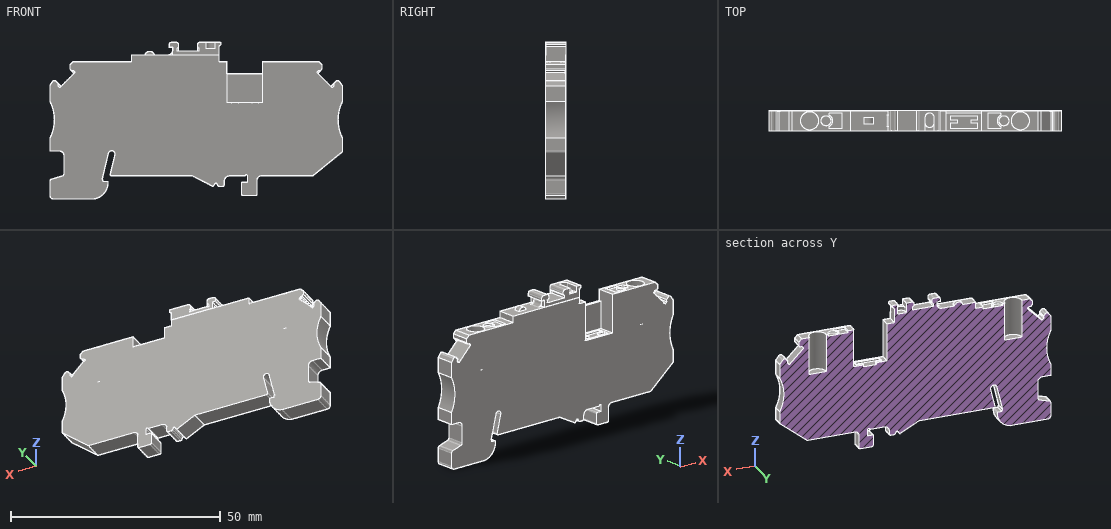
import cadquery as cq
import math

length = 70.0
thickness = 5.0
height = 37.5
mid_x = 34.9
clip_step = 0.1
body_thickness = thickness - clip_step
mid_y = body_thickness / 2

base_z = 5.5
top_z = 32.9
shelf_z = 34.5
shelf_x = (19.45, 40.45)
right_corner = (length, 11.35)
right_slope_x = 62.85

foot_top_z = 4.3
foot_flat_end = 10.5
foot_tip_x = 13.9
foot_tip_z = 3.7
foot_curve_mid = (12.8, 1.2)
foot_lead_in = 0.2
foot_recess_depth = 3.35
foot_recess_z = (5.7, 11.5)
foot_shoulder_z = 4.7
spring_top = (14.8, 10.8)
spring_radius = 0.8
spring_tilt = math.radians(13.5)
spring_left_bottom_z = 4.8

hook_x = (45.8, 49.55)
hook_neck_x = 47.25
hook_lip_z = 4.05
hook_bottom_z = 0.85
relief_radius = 0.3

wedge_x = (34.1, 39.0)
stop_notch = (39.75, 4.0)
stop_x = (40.25, 41.7)
stop_z = 3.0

grip_radius = 9.8
grip_depth = 1.05
grip_z = 19.0

channel_low = (2.65, 26.95)
channel_high = (5.75, 30.0)
lip_x = 4.75
lip_top_x = 5.5
lip_z = (31.15, 32.1)
rim_outer = (0.6, 28.15)
rim_crest = (1.1, 28.35)
rim_inner = (1.55, 28.15)
left_rim_foot_z = 27.2
right_rim_foot_z = 27.1

undercut_depth = 0.4
undercut_straight = 0.6
undercut_height = 1.0
undercut_wall = 0.2

clip_floor_z = 35.4
clip_stem_x = 29.3
clip_channel_x = (30.8, 35.3)
clip_end_x = shelf_x[1]
clip_hook_x = 28.5
clip_hook_z = 36.25
clip_nose_x = 40.95
clip_nose_z = (36.55, 36.95)
clip_edge_radius = 0.6
clip_nose_radius = 0.35
clip_fillet_radius = 1.05
clip_fillet_width = 2.8
clip_slot_x = (37.4, 39.5)
clip_slot_y = (0.85, 4.35)
clip_slot_floor_z = 35.0
clip_slot_ledge_z = 36.05

bump_diameter = 2.4
bump_x = 23.9
bump_top_z = 35.35
bump_width = 1.55

wire_hole_x = 9.7
wire_hole_diameter = 4.35
wire_hole_depth = 9.8
screw_x = 13.65
screw_diameter = 2.4
screw_collar_diameter = 3.15
recess_x = (14.35, 17.5)
recess_width = 3.8
recess_corner = 0.3
shallow_depth = 0.5

window_x = (42.35, 50.8)
window_floor_z = 23.1
window_wall = 0.6
window_wall_top_z = 30.0
jumper_x = (43.5, 49.9)
jumper_y = (0.6, 3.65)
jumper_tab_length = 1.6
jumper_tab_y = (1.95, 2.6)


def mirrored_x(x):
    return 2 * mid_x - x


def mirrored(point):
    return (mirrored_x(point[0]), point[1])


def side_plane(y):
    """Sketch plane seen from the front; extruding runs toward the front."""
    return cq.Workplane("XZ", origin=(0, y, 0))


def box(x_range, y_range, z_range):
    size = [r[1] - r[0] for r in (x_range, y_range, z_range)]
    corner = (x_range[0], y_range[0], z_range[0])
    return cq.Workplane("XY").box(*size, centered=False).translate(corner)


def round_corners(solid, radius, corners):
    """Round the edges that run along Y through the given (x, z) corners."""
    for x, z in corners:
        nearest = cq.NearestToPointSelector((x, mid_y, z))
        solid = solid.edges("|Y").edges(nearest).fillet(radius)
    return solid


def housing():
    spring_shift = math.tan(spring_tilt)
    half_width = spring_radius / math.cos(spring_tilt)
    left_bottom_x = spring_top[0] - half_width - (spring_top[1] - spring_left_bottom_z) * spring_shift
    right_bottom_x = spring_top[0] + half_width - (spring_top[1] - base_z) * spring_shift
    side_x = spring_radius * math.cos(spring_tilt)
    side_z = spring_radius * math.sin(spring_tilt)

    outline = (
        side_plane(body_thickness)
        .moveTo(0, 0)
        .lineTo(0, foot_shoulder_z)
        .lineTo(foot_recess_depth, foot_recess_z[0])
        .lineTo(foot_recess_depth, foot_recess_z[1])
        .lineTo(0, foot_recess_z[1])
        .lineTo(0, left_rim_foot_z)
        .lineTo(*rim_outer)
        .threePointArc(rim_crest, rim_inner)
        .lineTo(*channel_low)
        .lineTo(*channel_high)
        .lineTo(lip_x, lip_z[0])
        .lineTo(lip_x, lip_z[1])
        .lineTo(lip_top_x, top_z)
        .lineTo(shelf_x[0], top_z)
        .lineTo(shelf_x[0], shelf_z)
        .lineTo(shelf_x[1], shelf_z)
        .lineTo(shelf_x[1], top_z)
        .lineTo(mirrored_x(lip_top_x), top_z)
        .lineTo(mirrored_x(lip_x), lip_z[1])
        .lineTo(mirrored_x(lip_x), lip_z[0])
        .lineTo(*mirrored(channel_high))
        .lineTo(*mirrored(channel_low))
        .lineTo(*mirrored(rim_inner))
        .threePointArc(mirrored(rim_crest), mirrored(rim_outer))
        .lineTo(length, right_rim_foot_z)
        .lineTo(*right_corner)
        .lineTo(right_slope_x, base_z)
        .lineTo(hook_x[1], base_z)
        .lineTo(hook_x[1], hook_bottom_z)
        .lineTo(hook_x[0], hook_bottom_z)
        .lineTo(hook_x[0], hook_lip_z)
        .lineTo(hook_neck_x, hook_lip_z)
        .lineTo(hook_neck_x, base_z)
        .threePointArc(
            (hook_neck_x - relief_radius, base_z + relief_radius),
            (hook_neck_x - 2 * relief_radius, base_z),
        )
        .lineTo(stop_x[1], base_z)
        .lineTo(stop_x[1], stop_z)
        .lineTo(stop_x[0], stop_z)
        .lineTo(*stop_notch)
        .lineTo(wedge_x[1], stop_z)
        .lineTo(wedge_x[0], base_z)
        .lineTo(right_bottom_x, base_z)
        .lineTo(spring_top[0] + side_x, spring_top[1] - side_z)
        .threePointArc(
            (spring_top[0] + side_z, spring_top[1] + side_x),
            (spring_top[0] - side_x, spring_top[1] + side_z),
        )
        .lineTo(left_bottom_x, spring_left_bottom_z)
        .lineTo(left_bottom_x + foot_lead_in, foot_top_z)
        .lineTo(foot_tip_x, foot_top_z)
        .lineTo(foot_tip_x, foot_tip_z)
        .threePointArc(foot_curve_mid, (foot_flat_end, 0))
        .close()
    )
    body = outline.extrude(body_thickness)
    roundings = {
        0.2: [(foot_tip_x, foot_top_z), (hook_x[0], hook_lip_z), stop_notch],
        0.35: [(hook_x[1], hook_bottom_z), right_corner, (right_bottom_x, base_z)],
        0.4: [(hook_x[0], hook_bottom_z), (stop_x[0], stop_z), (stop_x[1], stop_z)],
        0.55: [(0, foot_shoulder_z), (foot_recess_depth, foot_recess_z[0])],
        0.85: [(0, 0)],
        1.0: [(hook_x[1], base_z)],
        1.1: [(foot_recess_depth, foot_recess_z[1])],
        1.25: [(stop_x[1], base_z)],
    }
    for radius, corners in roundings.items():
        body = round_corners(body, radius, corners)
    return body


def grip_cuts():
    """Shallow round hollows in the two ends, equally deep from both."""
    right_x = length - grip_depth + grip_radius
    centers = [(right_x, grip_z), (length - right_x, grip_z)]
    return side_plane(thickness).pushPoints(centers).circle(grip_radius).extrude(thickness)


def undercut_cuts(floor_width):
    """Pair of snap undercuts at the ends of a flat floor centred on the origin."""
    inner = floor_width / 2
    outer = inner + undercut_depth
    right = (
        side_plane(body_thickness - undercut_wall)
        .moveTo(0, 0)
        .lineTo(outer, 0)
        .lineTo(outer, undercut_straight)
        .lineTo(inner, undercut_height)
        .lineTo(0, undercut_height)
        .close()
        .extrude(body_thickness - undercut_wall)
    )
    return right.union(right.mirror("YZ"))


def channel_undercuts():
    run = channel_high[0] - channel_low[0]
    rise = channel_high[1] - channel_low[1]
    tilt = -math.degrees(math.atan2(rise, run))
    center_x = (channel_low[0] + channel_high[0]) / 2
    center_z = (channel_low[1] + channel_high[1]) / 2
    cut = undercut_cuts(math.hypot(run, rise)).rotate((0, 0, 0), (0, 1, 0), tilt)
    left = cut.translate((center_x, 0, center_z))
    return left.union(left.mirror("YZ").translate((2 * mid_x, 0, 0)))


def marker_clip():
    clip = (
        side_plane(thickness)
        .moveTo(clip_stem_x, shelf_z)
        .lineTo(clip_stem_x, clip_hook_z)
        .lineTo(clip_hook_x, clip_hook_z)
        .lineTo(clip_hook_x, height)
        .lineTo(clip_channel_x[0], height)
        .lineTo(clip_channel_x[0], clip_floor_z)
        .lineTo(clip_channel_x[1], clip_floor_z)
        .lineTo(clip_channel_x[1], height)
        .lineTo(clip_nose_x, height)
        .lineTo(clip_nose_x, clip_nose_z[1])
        .lineTo(clip_end_x, clip_nose_z[0])
        .lineTo(clip_end_x, shelf_z)
        .close()
        .extrude(body_thickness)
    )
    clip = round_corners(clip, clip_edge_radius, [(x, height) for x in clip_channel_x])
    clip = round_corners(clip, clip_edge_radius, [(clip_hook_x, height)])
    clip = round_corners(clip, clip_nose_radius, [(clip_nose_x, height)])

    channel_width = clip_channel_x[1] - clip_channel_x[0]
    channel_mid = sum(clip_channel_x) / 2
    clip = clip.cut(undercut_cuts(channel_width).translate((channel_mid, 0, clip_floor_z)))

    slot_width = clip_slot_x[1] - clip_slot_x[0]
    slot_length = clip_slot_y[1] - clip_slot_y[0]
    slot = (
        cq.Workplane("XY", origin=(sum(clip_slot_x) / 2, sum(clip_slot_y) / 2, clip_slot_floor_z))
        .slot2D(slot_length, slot_width, 90)
        .extrude(height - clip_slot_floor_z)
    )
    opening = box(clip_slot_x, (0, sum(clip_slot_y) / 2), (clip_slot_ledge_z, height))
    return clip.cut(slot).cut(opening)


def stem_fillet():
    """Concave fillet between the shelf and the clip stem."""
    r = clip_fillet_radius
    mid_offset = r * (1 - math.sqrt(0.5))
    return (
        side_plane(mid_y + clip_fillet_width / 2)
        .moveTo(clip_stem_x, shelf_z)
        .lineTo(clip_stem_x, shelf_z + r)
        .threePointArc((clip_stem_x - mid_offset, shelf_z + mid_offset), (clip_stem_x - r, shelf_z))
        .close()
        .extrude(clip_fillet_width)
    )


def latch_bump():
    return (
        side_plane(mid_y + bump_width / 2)
        .center(bump_x, bump_top_z - bump_diameter / 2)
        .circle(bump_diameter / 2)
        .extrude(bump_width)
    )


def top_cylinder(x, diameter, depth):
    return cq.Workplane("XY", origin=(x, mid_y, top_z)).circle(diameter / 2).extrude(-depth)


def terminal_cuts():
    recess = box(
        recess_x,
        (mid_y - recess_width / 2, mid_y + recess_width / 2),
        (top_z - shallow_depth, top_z),
    )
    recess = recess.edges("|Z and <X").fillet(recess_corner)
    recess = recess.cut(top_cylinder(screw_x, screw_collar_diameter, shallow_depth))
    left = (
        top_cylinder(wire_hole_x, wire_hole_diameter, wire_hole_depth)
        .union(top_cylinder(screw_x, screw_diameter, shallow_depth))
        .union(recess)
    )
    return left.union(left.mirror("YZ").translate((2 * mid_x, 0, 0)))


def window_cuts():
    opening = box(window_x, (0, body_thickness - window_wall), (window_floor_z, top_z))
    above_wall = box(window_x, (0, thickness), (window_wall_top_z, top_z))
    jumper_z = (window_floor_z - shallow_depth, window_floor_z)
    jumper = box(jumper_x, jumper_y, jumper_z)
    left_tab = (jumper_x[0], jumper_x[0] + jumper_tab_length)
    right_tab = (jumper_x[1] - jumper_tab_length, jumper_x[1])
    for tab_x in (left_tab, right_tab):
        jumper = jumper.cut(box(tab_x, jumper_tab_y, jumper_z))
    return opening.union(above_wall).union(jumper)


result = (
    housing()
    .cut(grip_cuts())
    .cut(channel_undercuts())
    .union(marker_clip())
    .union(stem_fillet())
    .union(latch_bump())
    .cut(terminal_cuts())
    .cut(window_cuts())
)